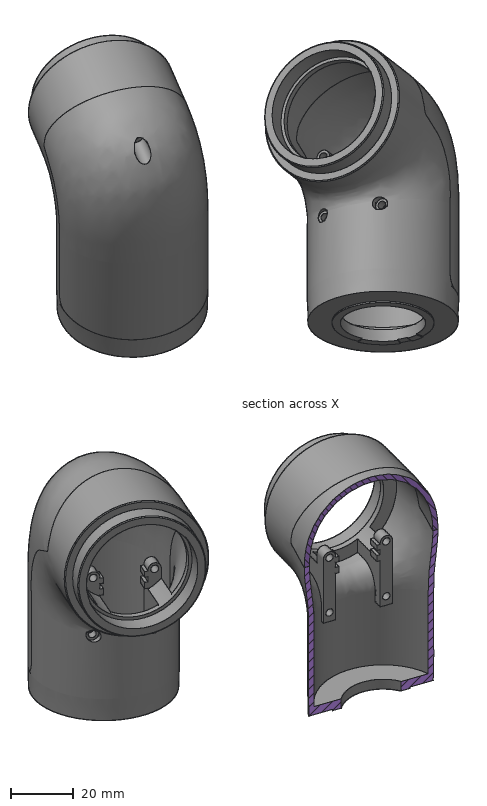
import cadquery as cq
import math


TUBE_R = 24.2
HEIGHT = 84.9
WALL = 2.0
AXIS_Z = HEIGHT - TUBE_R

SPIGOT_X = -40.7
COLLAR_X = -35.1
SPIGOT_R = 21.5
SPIGOT_BORE_R = 18.6
RIM_BORE_R = 17.5
RIM_X = -34.6
RIM_END_X = -32.4
EDGE_CHAMFER = 0.3

INNER_BEND_R = 4.75
BEND_X = -TUBE_R - INNER_BEND_R
BEND_Z = AXIS_Z - TUBE_R - INNER_BEND_R
CROWN_X = -16.1
CROWN_Z = 42.3
CROWN_POWER = 2.8
BULGE = 0.1
SECTIONS = 9

BASE_Z = 0.85
BAND_Z = 8.7
BASE_R = 24.0
FLOOR_TOP = 4.1
FLOOR_BORE_R = 13.6
LIP_Z = 0.3
LIP_R = 16.3
PAD_ANGLES = [(7.5, 57.0), (-23.7, -7.3)]

SCREW_Y = 10.3
SUPPORT_FRONT_X = -21.5
SUPPORT_BACK_X = -17.15
LEDGE_BOTTOM_Z = 28.0
EAR_R = 2.2
EAR_Z = 52.1
TOOTH_Y = 6.9
TEETH_Z = [(45.5, 47.8), (49.7, 51.7)]
FRONT_SCREW_Z = 31.4
SCREW_HOLE_D = 2.6
HEAD_D = 4.3
HEAD_FLOOR_X = -20.5

REAR_SCREW_Z = 78.6
REAR_BOSS_R = 3.2
REAR_BOSS_X = 0.0
REAR_HOLE_D = 1.7
REAR_HEAD_D = 5.1
REAR_HEAD_FLOOR_X = 4.25

COVER_TOP_X = -11.7
COVER_TIP_X = -17.3
COVER_TIP_TOP_Z = 66.2
COVER_TIP_Z = 62.75
COVER_FLANK = (-14.95, 75.5)
COVER_BEND = [(-2.5, 51.2), (-6.9, 56.8), (-14.9, 60.8)]
COVER_SHOULDER_SLOPE = (-2, 1)
COVER_SIDE_Z = 40.7
COVER_CORNER_R = 3.7

FAR = 2 * HEIGHT


def x_cylinder(radius, x_start, x_end, y=0.0, z=AXIS_Z):
    """Cylinder along X."""
    return cq.Workplane("YZ", origin=(x_start, y, z)).circle(radius).extrude(x_end - x_start)


def box(x_range, y_range, z_range):
    """Box given by its limits along each axis."""
    (x0, x1), (y0, y1), (z0, z1) = x_range, y_range, z_range
    return cq.Workplane("XY").box(x1 - x0, y1 - y0, z1 - z0, centered=False).translate((x0, y0, z0))


def side_prism(points):
    """Closed polygon in X and Z, extruded through the part along Y."""
    return cq.Workplane("XZ").polyline(points).close().extrude(FAR / 2, both=True)


def bend_points(angle, offset):
    """Inner and outer point of the bend section at the given angle, moved inward by the offset."""
    c = math.cos(angle)
    s = math.sin(angle)
    inner_r = INNER_BEND_R + offset
    reach = (abs(c) ** CROWN_POWER + abs(s) ** CROWN_POWER) ** (-1 / CROWN_POWER)
    crown_a = TUBE_R - offset - CROWN_X
    crown_b = HEIGHT - offset - CROWN_Z
    inner = cq.Vector(BEND_X + inner_r * c, 0, BEND_Z + inner_r * s)
    outer = cq.Vector(CROWN_X + crown_a * reach * c, 0, CROWN_Z + crown_b * reach * s)
    return inner, outer


def elbow(offset, x_start, z_start):
    """Solid bent tube, its surface moved inward by the offset, from X = x_start round to Z = z_start."""
    radius = TUBE_R - offset
    wires = []
    for i in range(SECTIONS):
        angle = math.pi / 2 * (1 - i / (SECTIONS - 1))
        inner, outer = bend_points(angle, offset)
        half_width = radius + BULGE * math.sin(2 * angle)
        chord = inner - outer
        normal = chord.cross(cq.Vector(0, 1, 0))
        ring = cq.Edge.makeEllipse(chord.Length / 2, half_width, (inner + outer) * 0.5, normal, chord)
        wires.append(cq.Wire.assembleEdges([ring]))
    bend = cq.Workplane(cq.Solid.makeLoft(wires))

    top_in, top_out = bend_points(math.pi / 2, offset)
    upper_side = side_prism([(x_start, top_in.z), (top_in.x, top_in.z), (top_out.x, top_out.z),
                             (x_start, top_out.z)])
    upper = x_cylinder(radius, x_start, CROWN_X).intersect(upper_side)

    low_in, low_out = bend_points(0, offset)
    lower_side = side_prism([(low_in.x, z_start), (low_out.x, z_start), (low_out.x, low_out.z),
                             (low_in.x, low_in.z)])
    lower = cq.Workplane("XY", origin=(0, 0, z_start)).circle(radius).extrude(CROWN_Z - z_start)
    return bend.union(upper).union(lower.intersect(lower_side))


def outer_form():
    """Outside of the elbow without the spigot: chamfered collar and tapered lower band."""
    body = elbow(0, COLLAR_X, BAND_Z)
    body = body.faces("<X").edges().chamfer(EDGE_CHAMFER)
    band = (cq.Workplane("XY", origin=(0, 0, BASE_Z)).circle(BASE_R)
            .workplane(offset=BAND_Z - BASE_Z).circle(TUBE_R).loft())
    return body.union(band)


def screw_support(side):
    """Ledge hollowed to the rim bore, with an upright toothed ear at its back; side is +1 or -1 along Y."""
    def block(x_range, y_near, y_far, z_range):
        return box(x_range, sorted((side * y_near, side * y_far)), z_range)

    plate_x = (SUPPORT_FRONT_X, SUPPORT_BACK_X)
    near = SCREW_Y - EAR_R
    far = SCREW_Y + EAR_R
    ledge = block((RIM_END_X, SUPPORT_BACK_X), near, far, (LEDGE_BOTTOM_Z, EAR_Z))
    ledge = ledge.cut(x_cylinder(RIM_BORE_R, RIM_END_X, SUPPORT_BACK_X))
    ear = block(plate_x, near, far, (LEDGE_BOTTOM_Z, EAR_Z))
    ear = ear.union(x_cylinder(EAR_R, *plate_x, side * SCREW_Y, EAR_Z))
    for tooth in TEETH_Z:
        ear = ear.union(block(plate_x, TOOTH_Y, SCREW_Y, tooth))
    return ledge.union(ear)


def at(radius, degrees):
    """Point at the given radius and angle around the lower arm."""
    angle = math.radians(degrees)
    return radius * math.cos(angle), radius * math.sin(angle)


def base_lip():
    """Ring under the floor with its two arc-shaped pads."""
    lip = (cq.Workplane("XY", origin=(0, 0, LIP_Z)).circle(LIP_R).circle(FLOOR_BORE_R)
           .extrude(BASE_Z - LIP_Z))
    for start, end in PAD_ANGLES:
        middle = (start + end) / 2
        pad = (cq.Workplane("XY").moveTo(*at(FLOOR_BORE_R, start)).lineTo(*at(LIP_R, start))
               .threePointArc(at(LIP_R, middle), at(LIP_R, end)).lineTo(*at(FLOOR_BORE_R, end))
               .threePointArc(at(FLOOR_BORE_R, middle), at(FLOOR_BORE_R, start)).close().extrude(LIP_Z))
        lip = lip.union(pad)
    return lip


def cover_region():
    """Everything behind the parting line, as a prism along Y."""
    diagonal = COVER_CORNER_R * (1 - math.sqrt(0.5))
    return (cq.Workplane("XZ").moveTo(FAR, BAND_Z).lineTo(COVER_CORNER_R, BAND_Z)
            .threePointArc((diagonal, BAND_Z + diagonal), (0, BAND_Z + COVER_CORNER_R))
            .lineTo(0, COVER_SIDE_Z)
            .spline(COVER_BEND, tangents=[(0, 1), COVER_SHOULDER_SLOPE], includeCurrent=True)
            .spline([(COVER_TIP_X, COVER_TIP_Z)], tangents=[COVER_SHOULDER_SLOPE, (0, 1)],
                    includeCurrent=True)
            .lineTo(COVER_TIP_X, COVER_TIP_TOP_Z)
            .threePointArc(COVER_FLANK, (COVER_TOP_X, HEIGHT))
            .lineTo(COVER_TOP_X, FAR).lineTo(FAR, FAR).close().extrude(FAR / 2, both=True))


outer = outer_form()
cavity = elbow(WALL, RIM_END_X, FLOOR_TOP)
shell = outer.cut(cavity)
region = cover_region()


def make_housing():
    """Front body: spigot, collar, lower arm, floor and the screw supports."""
    body = shell.cut(region)
    spigot = x_cylinder(SPIGOT_R, SPIGOT_X, COLLAR_X).faces("<X").edges().chamfer(EDGE_CHAMFER)
    body = body.union(spigot)
    body = body.cut(x_cylinder(SPIGOT_BORE_R, SPIGOT_X, RIM_X))
    body = body.cut(x_cylinder(RIM_BORE_R, SPIGOT_X, RIM_END_X))
    body = body.cut(cq.Workplane("XY").circle(FLOOR_BORE_R).extrude(FLOOR_TOP))
    body = body.union(base_lip())
    for side in (1, -1):
        y = side * SCREW_Y
        body = body.union(screw_support(side).intersect(cavity))
        body = body.cut(x_cylinder(SCREW_HOLE_D / 2, SUPPORT_FRONT_X, SUPPORT_BACK_X, y, EAR_Z))
        body = body.cut(x_cylinder(SCREW_HOLE_D / 2, -TUBE_R, SUPPORT_BACK_X, y, FRONT_SCREW_Z))
        body = body.cut(x_cylinder(HEAD_D / 2, -TUBE_R, HEAD_FLOOR_X, y, FRONT_SCREW_Z))
    return body


def make_cover():
    """Rear body: the shell behind the parting line with a counterbored screw boss."""
    boss = x_cylinder(REAR_BOSS_R, REAR_BOSS_X, TUBE_R, 0, REAR_SCREW_Z).intersect(outer)
    body = shell.intersect(region).union(boss)
    body = body.cut(x_cylinder(REAR_HOLE_D / 2, REAR_BOSS_X, TUBE_R, 0, REAR_SCREW_Z))
    return body.cut(x_cylinder(REAR_HEAD_D / 2, REAR_HEAD_FLOOR_X, TUBE_R, 0, REAR_SCREW_Z))


housing = make_housing()
cover = make_cover()
result = cq.Compound.makeCompound([*housing.vals(), *cover.vals()])